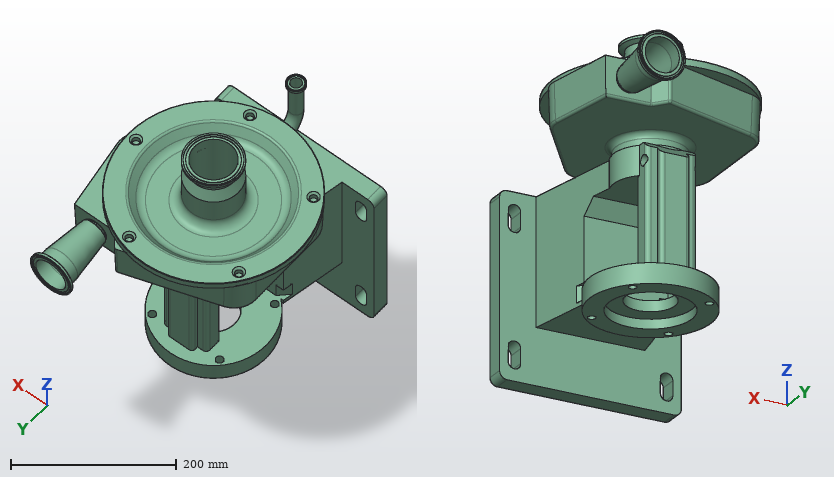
import cadquery as cq
import math


plate_size = 249.8
plate_thickness = 25.0
plate_back_y = -179.5
plate_front_y = plate_back_y + plate_thickness
plate_corner_radius = 10.0
slot_width = 17.0
slot_length = 36.7
slot_spacing_x = 209.0
slot_spacing_z = 180.0

boss_radius = 50.5
boss_top_z = 253.0
boss_bottom_z = 213.0
boss_hole_radius = 7.5
boss_hole_z = 226.0
boss_hole_depth = 20.0
web_root_half_width = 74.5
web_tip_half_width = 48.5
web_tip_y = -15.7
web_bottom_z = 77.0
web_front_y = -63.5
web_chamfer_y = 17.8
web_chamfer_z = 20.0
relief_size = 14.0
relief_height = 22.0

column_half_width = 34.5
column_front_y = 32.3
column_rear_y = 55.3
column_corner_radius = 6.0
spine_half_width = 20.0
spine_rear_y = 65.0
spine_corner_radius = 5.2
column_bore_radius = 37.5
column_bevel_y = 18.0
column_bevel_z = 16.0
column_hole_radius = 7.3
column_hole_y = 47.0
column_hole_z = 229.0

ring_radius = 83.0
ring_bore_radius = 33.5
ring_spigot_radius = 56.5
ring_spigot_top_z = 68.5
ring_bottom_z = 55.5
ring_top_z = 83.0
ring_hole_count = 4
ring_hole_circle_radius = 74.5
ring_hole_start_angle = 45
ring_hole_radius = 5.2

bolt_count = 5
bolt_spacing = 360 / bolt_count
casing_top_z = 324.0
casing_bottom_z = 270.7
casing_side_distance = 115.0
casing_draft = 1.7
casing_corner_radius = 34.3
casing_bottom_fillet = 3.5
outlet_face_y = 115.5
outlet_root_y = 101.0
outlet_side_x = 123.5
swept_corner_x = 142.0
lobe_corner_x = 44.5
lobe_root_x = 60.5
lobe_radius = 4.0
hub_radius = 47.2
hub_fillet = 8.0

cover_radius = 134.8
cover_chamfer = 1.0
cover_top_z = 333.5
recess_floor_z = 316.5
recess_top_radius = 104.5
recess_floor_radius = 89.5
recess_rim_fillet = 4.5
recess_floor_fillet = 15.5
bolt_circle_radius = 121.5
bolt_hole_radius = 5.2
bolt_hole_chamfer = 3.0
bolt_hole_tip = 3.2

inlet_top_z = 403.5
inlet_base_radius = 39.0
inlet_root_fillet = 15.0
inlet_cone_bottom_z = 369.2
inlet_cone_top_z = 384.5
inlet_neck_radius = 31.5
inlet_bore_radius = 30.0
inlet_rim_radius = 39.0
inlet_bore_bottom_z = 298.5

outlet_x = 90.8
outlet_z = 298.5
outlet_end_y = 200.5
outlet_weld_radius = 17.5
outlet_start_radius = 19.0
outlet_weld_length = 3.2
outlet_overlap = 4.0
outlet_cone_end_y = 180.5
outlet_neck_radius = 26.0
outlet_rim_radius = 32.0
outlet_wall = 2.5

pipe_radius = 9.5
pipe_bore_radius = 7.5
pipe_z = 300.2
pipe_root_y = -113.0
pipe_bend_start_y = -123.0
pipe_bend_radius = 34.5
pipe_top_z = 389.8
pipe_rim_radius = 13.0

rim_thickness = 3.5
rim_taper = 3.0
groove_width_share = 0.4
groove_depth = 1.2


def cylinder(radius, bottom_z, top_z):
    return cq.Workplane("XY").workplane(offset=bottom_z).circle(radius).extrude(top_z - bottom_z)


def revolved(profile):
    """Revolve a list of (radius, z) points around the Z axis."""
    return cq.Workplane("XZ").polyline(profile).close().revolve(360, (0, 0, 0), (0, 1, 0))


def block(x_half, y_min, y_max, z_min, z_max):
    base = cq.Workplane("XY", origin=(0, y_min, z_min))
    return base.box(2 * x_half, y_max - y_min, z_max - z_min, centered=(True, False, False))


def clamp_rim(rim_radius, neck_radius, end_z):
    """Clamp rim that ends at end_z, with a seal groove in its end face."""
    underside_z = end_z - rim_thickness
    rim = revolved([
        (0, end_z),
        (rim_radius, end_z),
        (rim_radius, underside_z),
        (neck_radius, underside_z - rim_taper),
        (0, underside_z - rim_taper),
    ])
    groove_width = groove_width_share * (rim_radius - neck_radius)
    groove_radius = (rim_radius + neck_radius) / 2
    groove = (
        cq.Workplane("XY").workplane(offset=end_z)
        .circle(groove_radius + groove_width / 2)
        .circle(groove_radius - groove_width / 2)
        .extrude(-groove_depth)
    )
    return rim.cut(groove)


def make_plate():
    plate = block(plate_size / 2, plate_back_y, plate_front_y, 0, plate_size)
    plate = plate.edges("|Y").fillet(plate_corner_radius)
    slots = (
        cq.Workplane("XZ", origin=(0, plate_front_y, plate_size / 2))
        .rarray(slot_spacing_x, slot_spacing_z, 2, 2)
        .slot2D(slot_length, slot_width, 90)
        .extrude(plate_thickness)
    )
    return plate.cut(slots)


def make_web():
    side = (
        cq.Workplane("YZ")
        .polyline([
            (plate_front_y, plate_size),
            (web_tip_y, plate_size),
            (web_tip_y, boss_bottom_z),
            (web_front_y + web_chamfer_y, boss_bottom_z),
            (web_front_y, boss_bottom_z - web_chamfer_z),
            (web_front_y, web_bottom_z),
            (plate_front_y, web_bottom_z),
        ])
        .close()
        .extrude(web_root_half_width, both=True)
    )
    plan = (
        cq.Workplane("XY")
        .polyline([
            (-web_root_half_width, plate_front_y),
            (web_root_half_width, plate_front_y),
            (web_tip_half_width, web_tip_y),
            (-web_tip_half_width, web_tip_y),
        ])
        .close()
        .extrude(plate_size)
    )
    web = side.intersect(plan)
    narrowing = (web_root_half_width - web_tip_half_width) / (web_tip_y - plate_front_y)
    relief_rear_y = web_front_y - relief_size
    relief_outer_x = web_root_half_width - narrowing * (relief_rear_y - plate_front_y)
    for side_sign in (-1, 1):
        relief = (
            cq.Workplane("XY").workplane(offset=ring_top_z)
            .polyline([
                (side_sign * relief_outer_x, relief_rear_y),
                (side_sign * (relief_outer_x - relief_size), web_front_y),
                (side_sign * relief_outer_x, web_front_y),
            ])
            .close()
            .extrude(relief_height)
        )
        web = web.cut(relief)
    return web


def make_boss():
    boss = cylinder(boss_radius, boss_bottom_z, boss_top_z)
    hole = (
        cq.Workplane("YZ", origin=(-boss_radius, 0, boss_hole_z))
        .circle(boss_hole_radius)
        .extrude(boss_hole_depth)
    )
    return boss.cut(hole)


def make_column():
    column = block(column_half_width, column_front_y, column_rear_y, ring_top_z, boss_top_z)
    column = column.edges("|Z and >Y").fillet(column_corner_radius)
    spine = block(spine_half_width, column_front_y, spine_rear_y, ring_top_z, boss_top_z)
    spine = spine.edges("|Z and >Y").fillet(spine_corner_radius)
    bore = cylinder(column_bore_radius, ring_top_z, boss_bottom_z)
    bevel = (
        cq.Workplane("YZ")
        .polyline([
            (spine_rear_y, boss_top_z),
            (spine_rear_y - column_bevel_y, boss_top_z),
            (spine_rear_y, boss_top_z - column_bevel_z),
        ])
        .close()
        .extrude(column_half_width, both=True)
    )
    return column.union(spine).cut(bore).cut(bevel)


def make_column_hole():
    return (
        cq.Workplane("YZ", origin=(0, column_hole_y, column_hole_z))
        .circle(column_hole_radius)
        .extrude(column_half_width, both=True)
    )


def make_base_ring():
    ring = cylinder(ring_radius, ring_bottom_z, ring_top_z)
    ring = ring.cut(cylinder(ring_bore_radius, ring_bottom_z, ring_top_z))
    ring = ring.cut(cylinder(ring_spigot_radius, ring_bottom_z, ring_spigot_top_z))
    holes = (
        cq.Workplane("XY").workplane(offset=ring_bottom_z)
        .polarArray(ring_hole_circle_radius, ring_hole_start_angle, 360, ring_hole_count)
        .circle(ring_hole_radius)
        .extrude(ring_top_z - ring_bottom_z)
    )
    return ring.cut(holes)


def make_casing():
    corner_distance = casing_side_distance / math.cos(math.radians(bolt_spacing / 2))

    def corner(degrees):
        angle = math.radians(degrees)
        return (corner_distance * math.cos(angle), corner_distance * math.sin(angle))

    def point_on_side(x, degrees):
        angle = math.radians(degrees)
        return (x, (casing_side_distance - x * math.cos(angle)) / math.sin(angle))

    outline = [
        corner(2 * bolt_spacing),
        corner(3 * bolt_spacing),
        corner(4 * bolt_spacing),
        point_on_side(swept_corner_x, 4.5 * bolt_spacing),
        (outlet_side_x, outlet_face_y),
        (lobe_root_x, outlet_face_y),
        point_on_side(lobe_corner_x, 1.5 * bolt_spacing),
    ]
    casing = (
        cq.Workplane("XY").workplane(offset=casing_top_z)
        .polyline(outline)
        .close()
        .extrude(casing_bottom_z - casing_top_z, taper=casing_draft)
    )
    wide_corners = [e for e in casing.edges("not(#Z)").vals() if e.Center().y < outlet_root_y]
    casing = casing.newObject(wide_corners).fillet(casing_corner_radius)
    casing = casing.edges("not(#Z)").edges(">Y").fillet(lobe_radius)
    casing = casing.faces("<Z").edges().fillet(casing_bottom_fillet)
    return casing


def make_hub():
    flare_radius = hub_radius + hub_fillet
    arc_offset = hub_fillet * (1 - math.sqrt(0.5))
    arc_middle = (hub_radius + arc_offset, casing_bottom_z - arc_offset)
    return (
        cq.Workplane("XZ")
        .moveTo(0, boss_top_z)
        .lineTo(hub_radius, boss_top_z)
        .lineTo(hub_radius, casing_bottom_z - hub_fillet)
        .threePointArc(arc_middle, (flare_radius, casing_bottom_z))
        .lineTo(0, casing_bottom_z)
        .close()
        .revolve(360, (0, 0, 0), (0, 1, 0))
    )


def make_recess():
    """Tool for the dished recess around the inlet, with the blends at its floor."""
    tool = revolved([
        (inlet_base_radius, recess_floor_z),
        (recess_floor_radius, recess_floor_z),
        (recess_top_radius, cover_top_z),
        (inlet_base_radius, cover_top_z),
    ])
    tool = tool.faces("<Z").edges(cq.selectors.RadiusNthSelector(1)).fillet(recess_floor_fillet)
    tool = tool.faces("<Z").edges(cq.selectors.RadiusNthSelector(0)).fillet(inlet_root_fillet)
    return tool


def make_bolt_holes():
    """Drilled holes with a countersunk mouth and a conical bottom."""
    hole = revolved([
        (0, casing_top_z - bolt_hole_tip),
        (bolt_hole_radius, casing_top_z),
        (bolt_hole_radius, cover_top_z - bolt_hole_chamfer),
        (bolt_hole_radius + bolt_hole_chamfer, cover_top_z),
        (0, cover_top_z),
    ]).translate((bolt_circle_radius, 0, 0))
    holes = cq.Workplane("XY")
    for index in range(bolt_count):
        holes = holes.add(hole.rotate((0, 0, 0), (0, 0, 1), index * bolt_spacing))
    return holes.combine()


def make_inlet():
    nozzle = revolved([
        (0, recess_floor_z),
        (inlet_base_radius, recess_floor_z),
        (inlet_base_radius, inlet_cone_bottom_z),
        (inlet_neck_radius, inlet_cone_top_z),
        (inlet_neck_radius, inlet_top_z - rim_thickness),
        (0, inlet_top_z - rim_thickness),
    ])
    return nozzle.union(clamp_rim(inlet_rim_radius, inlet_neck_radius, inlet_top_z))


def along_outlet(body):
    """Move a body built around Z so that its axis becomes the outlet axis."""
    return body.rotate((0, 0, 0), (1, 0, 0), -90).translate((outlet_x, 0, outlet_z))


def make_outlet():
    cone_start_y = outlet_face_y + outlet_weld_length
    nozzle = revolved([
        (0, outlet_face_y - outlet_overlap),
        (outlet_weld_radius, outlet_face_y - outlet_overlap),
        (outlet_weld_radius, cone_start_y),
        (outlet_start_radius, cone_start_y),
        (outlet_neck_radius, outlet_cone_end_y),
        (outlet_neck_radius, outlet_end_y - rim_thickness),
        (0, outlet_end_y - rim_thickness),
    ])
    bore = revolved([
        (0, outlet_face_y),
        (outlet_start_radius - outlet_wall, outlet_face_y),
        (outlet_start_radius - outlet_wall, cone_start_y),
        (outlet_neck_radius - outlet_wall, outlet_cone_end_y),
        (outlet_neck_radius - outlet_wall, outlet_end_y),
        (0, outlet_end_y),
    ])
    rim = clamp_rim(outlet_rim_radius, outlet_neck_radius, outlet_end_y)
    return along_outlet(nozzle.union(rim).cut(bore))


def bent_rod(radius):
    bend_end_y = pipe_bend_start_y - pipe_bend_radius
    bend_end_z = pipe_z + pipe_bend_radius
    path = (
        cq.Workplane("YZ")
        .moveTo(pipe_root_y, pipe_z)
        .lineTo(pipe_bend_start_y, pipe_z)
        .tangentArcPoint((bend_end_y, bend_end_z), relative=False)
        .lineTo(bend_end_y, pipe_top_z)
    )
    return cq.Workplane("XZ", origin=(0, pipe_root_y, pipe_z)).circle(radius).sweep(path)


def make_side_pipe():
    rim = clamp_rim(pipe_rim_radius, pipe_radius, pipe_top_z)
    rim = rim.translate((0, pipe_bend_start_y - pipe_bend_radius, 0))
    return bent_rod(pipe_radius).union(rim)


bracket = make_plate().union(make_web()).union(make_boss()).union(make_column()).union(make_base_ring())
bracket = bracket.cut(make_column_hole())

cover = cylinder(cover_radius, casing_top_z, cover_top_z).faces(">Z").chamfer(cover_chamfer)
pump = make_casing().union(make_hub()).union(cover)
pump = pump.cut(make_recess())
recess_rim = pump.faces(">Z").edges(cq.selectors.RadiusNthSelector(1))
pump = recess_rim.fillet(recess_rim_fillet).cut(make_bolt_holes())
pump = pump.union(make_inlet()).cut(cylinder(inlet_bore_radius, inlet_bore_bottom_z, inlet_top_z))
pump = pump.union(make_outlet()).union(make_side_pipe()).cut(bent_rod(pipe_bore_radius))

result = bracket.union(pump)